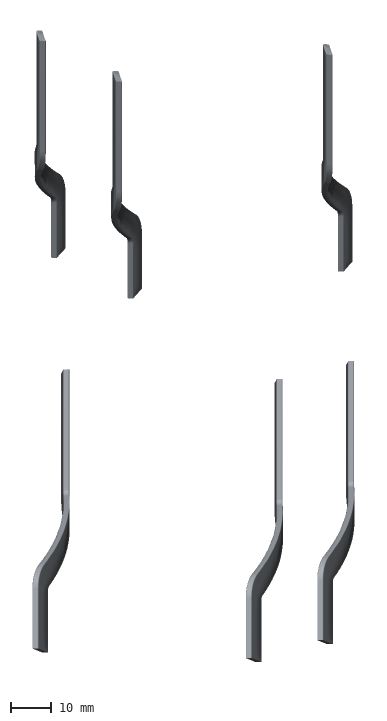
import cadquery as cq
import math

bar_height = 76.2
lower_leg_height = 15.0
upper_leg_height = 30.0
bar_span = 43.9
bar_width = 6.0
bar_thickness = 1.5
edge_round = 0.25
bend_inner_radius = 2.0

mid_radius = 75.3
outer_radius = mid_radius + bar_thickness / 2
inner_radius = mid_radius - bar_thickness / 2

pitch = 30.0
far_shift = 49.95
bar_shifts = [(0, 0), (pitch, 0), (far_shift, far_shift)]

facing_angle = -45


def bar_outline():
    """Cranked strip: two vertical legs joined by a sloping run of the same width."""
    half_span = bar_span / 2
    middle_rise = bar_height - lower_leg_height - upper_leg_height
    bend_outer_radius = bend_inner_radius + bar_width

    center_gap = bar_span - 2 * bend_outer_radius
    gap_length = math.hypot(center_gap, middle_rise)
    gap_angle = math.atan2(middle_rise, center_gap)
    bend_center_radius = bend_inner_radius + bar_width / 2
    run_angle = gap_angle - math.asin(2 * bend_center_radius / gap_length)
    turn = math.pi / 2 - run_angle

    low_z = lower_leg_height
    high_z = bar_height - upper_leg_height
    center_low = -half_span + bend_outer_radius

    def low_point(radius, angle):
        return (center_low - radius * math.cos(angle), low_z + radius * math.sin(angle))

    def high_point(radius, angle):
        return (-center_low + radius * math.cos(angle), high_z - radius * math.sin(angle))

    return (
        cq.Workplane("XZ")
        .moveTo(-half_span, 0)
        .lineTo(-half_span, low_z)
        .threePointArc(low_point(bend_outer_radius, turn / 2), low_point(bend_outer_radius, turn))
        .lineTo(*high_point(bend_inner_radius, turn))
        .threePointArc(high_point(bend_inner_radius, turn / 2), high_point(bend_inner_radius, 0))
        .lineTo(half_span - bar_width, bar_height)
        .lineTo(half_span, bar_height)
        .lineTo(half_span, high_z)
        .threePointArc(high_point(bend_outer_radius, turn / 2), high_point(bend_outer_radius, turn))
        .lineTo(*low_point(bend_inner_radius, turn))
        .threePointArc(low_point(bend_inner_radius, turn / 2), low_point(bend_inner_radius, 0))
        .lineTo(-half_span + bar_width, 0)
        .close()
    )


def make_bar():
    shell = (
        cq.Workplane("XY")
        .circle(outer_radius)
        .circle(inner_radius)
        .extrude(bar_height)
    )
    bar = bar_outline().extrude(outer_radius).intersect(shell)
    long_edges = bar.edges("not(<Z or >Z)")
    return long_edges.fillet(edge_round)


bar = make_bar().rotate((0, 0, 0), (0, 0, 1), facing_angle)
result = cq.Compound.makeCompound([bar.translate((x, y, 0)).val() for x, y in bar_shifts])